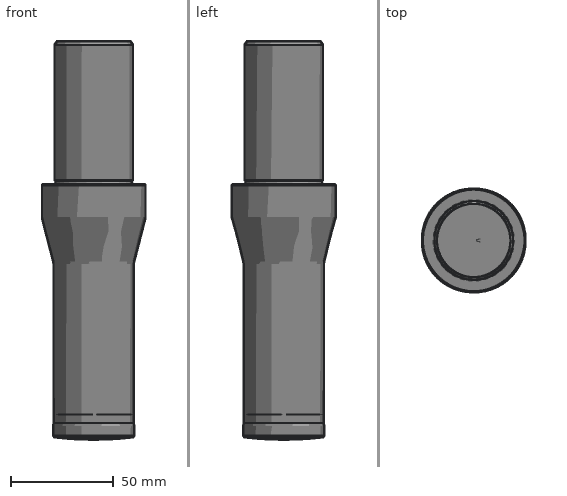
import cadquery as cq

total_height = 194.3

cap_radius = 19.8
cap_seat_z = 12.2
cap_split_z = 8.2
cap_rim_z = 6.6
cap_edge_z = 2.1
cap_edge_chamfer = 0.5
dome_height = 1.2
dome_flank_radius = 9.7

shaft_radius = 19.6
cone_bottom_z = 86.3
cone_blend_radius = 4.9
collar_radius = 25.35
collar_bottom_z = 108.5
collar_top_z = 124.5
collar_chamfer = 0.5

neck_radius = 18.7
neck_fillet = 1.0
shank_radius = 19.2
shank_bottom_z = 126.7
shank_top_chamfer_height = 2.0
shank_top_chamfer_width = 1.4

cap_taper = (cap_radius - shaft_radius) / (cap_split_z - cap_rim_z)
cap_seat_radius = shaft_radius - cap_taper * (cap_seat_z - cap_split_z)


def make_cap():
    """Slightly oversize cap with a tapered plug and a shallow domed face."""
    dome_radius = cap_radius - cap_edge_chamfer
    dome_flank_z = dome_height * (dome_flank_radius / dome_radius) ** 2
    return (
        cq.Workplane("XZ")
        .moveTo(0, 0)
        .threePointArc((dome_flank_radius, dome_flank_z), (dome_radius, dome_height))
        .lineTo(cap_radius, cap_edge_z)
        .lineTo(cap_radius, cap_rim_z)
        .lineTo(cap_seat_radius, cap_seat_z)
        .lineTo(0, cap_seat_z)
        .close()
        .revolve(360, (0, 0), (0, 1))
    )


def make_stem():
    """Lower shaft, collar, relief neck and upper shank in one piece."""
    neck_top_z = shank_bottom_z - (shank_radius - neck_radius)
    stem = (
        cq.Workplane("XZ")
        .moveTo(0, cap_seat_z)
        .lineTo(cap_seat_radius, cap_seat_z)
        .lineTo(shaft_radius, cap_split_z)
        .lineTo(shaft_radius, cone_bottom_z)
        .lineTo(collar_radius, collar_bottom_z)
        .lineTo(collar_radius, collar_top_z - collar_chamfer)
        .lineTo(collar_radius - collar_chamfer, collar_top_z)
        .lineTo(neck_radius, collar_top_z)
        .lineTo(neck_radius, neck_top_z)
        .lineTo(shank_radius, shank_bottom_z)
        .lineTo(shank_radius, total_height - shank_top_chamfer_height)
        .lineTo(shank_radius - shank_top_chamfer_width, total_height)
        .lineTo(0, total_height)
        .close()
        .revolve(360, (0, 0), (0, 1))
    )
    stem = stem.edges(ring_at(shaft_radius, cone_bottom_z)).fillet(cone_blend_radius)
    return stem.edges(ring_at(neck_radius, collar_top_z)).fillet(neck_fillet)


def ring_at(radius, height):
    """Selector for the circular edge of the given radius and height."""
    margin = 0.02
    reach = radius + margin
    return cq.selectors.BoxSelector(
        (-reach, -reach, height - margin),
        (reach, reach, height + margin),
        boundingbox=True,
    )


cap = make_cap()
stem = make_stem()

result = cq.Compound.makeCompound([cap.val(), stem.val()])